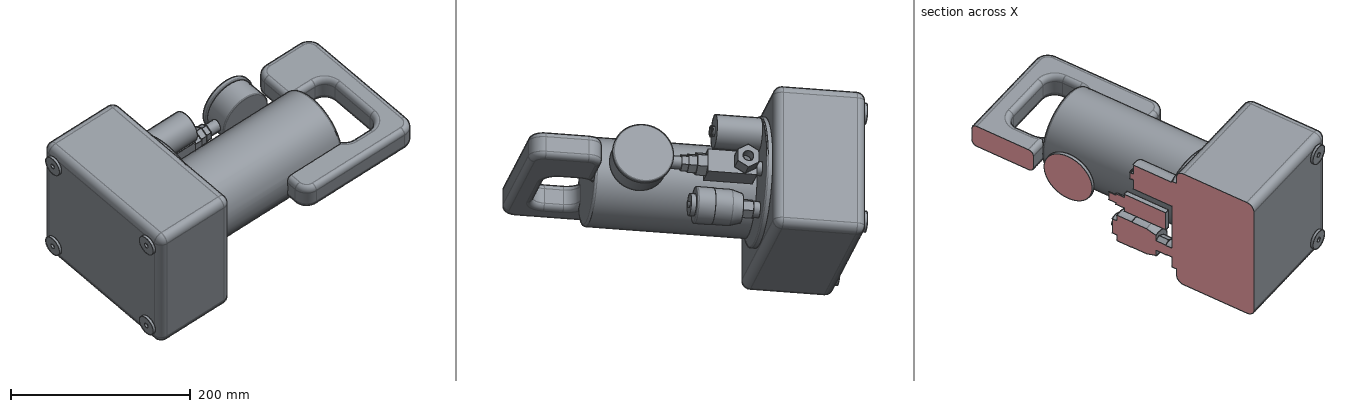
import cadquery as cq
import math

AXIS_X = cq.Vector(1, 0, 0)
AXIS_Y = cq.Vector(0, 1, 0)

total_length = 379.7
foot_height = 3.5
handle_end_y = total_length - foot_height

tank_x = 199.7
tank_y = 103.5
tank_z = 170.0
tank_fillet = 10.0
foot_dia = 23.5
foot_hole_dia = 5.7
foot_pitch_x = 160.0
foot_pitch_z = 130.0
foot_overlap = 2.0

cover_dia = 147.0
cover_x = -14.0
cover_thickness = 6.5
cover_fillet = 1.5
cover_top_y = tank_y + cover_thickness

motor_dia = 100.2
motor_x = 20.5
motor_end_y = 294.0
motor_fillet = 2.5

handle_thickness = 31.0
handle_fillet = 7.0
handle_corner = 16.7
handle_left_x = -80.0
handle_right_x = tank_x / 2
handle_foot_y = 213.0
window_left_x = -21.0
window_right_x = 70.5
window_top_y = 348.0
window_bottom_y = motor_end_y
window_corner = 16.0
window_wall = 6.0

block_x = 27.7
block_z = 26.5
block_bottom_y = 117.7
block_top_y = 173.0
valve_x = -54.5
pedestal_dia = 16.0

outlet_y = 131.8
outlet_flats = 24.0
outlet_length = 19.0
outlet_neck_dia = 16.5
outlet_neck_length = 2.5
outlet_bore_dia = 11.8
outlet_bore_depth = 15.0
drill_tip_angle = 118

hex_stack = [(23.0, 11.5), (19.0, 9.5), (16.7, 7.5)]

gauge_y = 248.0
gauge_body_dia = 64.5
gauge_rim_dia = 68.7
gauge_front_x = -75.5
gauge_back_x = -41.8
gauge_rim_width = 6.0
gauge_fillet = 1.0
gauge_stem_dia = 14.5

solenoid_x = -43.0
solenoid_z = 45.5
solenoid_dia = 38.0
solenoid_top_y = 161.5
knob_neck_dia = 11.8
knob_cap_dia = 13.0
knob_step = 2.3
knob_chamfer = 0.8

coupler_x = -40.5
coupler_z = -43.5
coupler_neck_dia = 18.2
coupler_nut_flats = 19.0
coupler_nut_y = 117.7
coupler_cone_y = 130.5
coupler_cone_dia = 33.5
coupler_sleeve_y = 143.0
coupler_sleeve_dia = 40.5
coupler_collar_y = 163.0
coupler_collar_dia = 41.5
coupler_collar_fillet = 1.5
coupler_tip_y = 183.5
coupler_tip_dia = 25.0
coupler_pin_y = 189.0
coupler_pin_dia = 7.0
coupler_end_y = 191.5


def rod(diameter, length, start, direction):
    """Cylinder starting at a point and running along a direction."""
    return cq.Workplane(obj=cq.Solid.makeCylinder(diameter / 2, length, cq.Vector(*start), direction))


def rod_y(diameter, x, z, bottom_y, top_y):
    """Cylinder parallel to Y between two heights."""
    return rod(diameter, top_y - bottom_y, (x, bottom_y, z), AXIS_Y)


def hex_bar(flats, length, start, direction):
    """Hexagon bar along a direction, with corners toward +Z and -Z."""
    plane = cq.Plane(origin=start, xDir=(0, 0, 1), normal=direction.toTuple())
    across_corners = flats / math.cos(math.pi / 6)
    return cq.Workplane(plane).polygon(6, across_corners).extrude(length)


def make_tank():
    tank = cq.Workplane("XY").box(tank_x, tank_y, tank_z).translate((0, tank_y / 2, 0))
    tank = tank.edges().fillet(tank_fillet)
    for x in (-foot_pitch_x / 2, foot_pitch_x / 2):
        for z in (-foot_pitch_z / 2, foot_pitch_z / 2):
            tank = tank.union(rod_y(foot_dia, x, z, -foot_height, foot_overlap))
            tank = tank.cut(rod_y(foot_hole_dia, x, z, -foot_height, 0))
    return tank


def make_cover():
    return rod_y(cover_dia, cover_x, 0, tank_y, cover_top_y).faces(">Y").edges().fillet(cover_fillet)


def make_motor():
    return rod_y(motor_dia, motor_x, 0, tank_y, motor_end_y).faces(">Y").edges().fillet(motor_fillet)


def make_handle():
    """Flat L-shaped grip with a rounded window; its inner parts are buried in the motor."""
    root_x = window_left_x - window_wall
    outline = [
        (handle_left_x, motor_end_y),
        (handle_left_x, handle_end_y),
        (handle_right_x, handle_end_y),
        (handle_right_x, handle_foot_y),
        (root_x, handle_foot_y),
        (root_x, motor_end_y),
    ]
    plate = cq.Workplane("XY").polyline(outline).close().extrude(handle_thickness / 2, both=True)
    plate = plate.edges("|Z").edges("<X or >X").fillet(handle_corner)
    plate = plate.faces("<Z or >Z").edges().fillet(handle_fillet)

    centre_x = (window_left_x + window_right_x) / 2
    centre_y = (window_bottom_y + window_top_y) / 2
    window = (
        cq.Workplane("XY")
        .center(centre_x, centre_y)
        .rect(window_right_x - window_left_x, window_top_y - window_bottom_y)
        .extrude(handle_thickness, both=True)
        .edges("|Z")
        .fillet(window_corner)
    )
    blank = cq.Workplane("XY").box(total_length, total_length, handle_thickness)
    blank = blank.translate((centre_x, centre_y, 0)).cut(window)
    rim_reach = (window_right_x - window_left_x) / 2 + window_wall
    rim_zone = cq.selectors.BoxSelector(
        (centre_x - rim_reach, centre_y - rim_reach, -handle_thickness),
        (centre_x + rim_reach, centre_y + rim_reach, handle_thickness),
    )
    blank = blank.faces("<Z or >Z").edges(rim_zone).fillet(handle_fillet)
    return plate.intersect(blank)


def make_valve():
    block_y = block_top_y - block_bottom_y
    valve = cq.Workplane("XY").box(block_x, block_y, block_z)
    valve = valve.translate((valve_x, block_bottom_y + block_y / 2, 0))
    valve = valve.union(rod_y(pedestal_dia, valve_x, 0, cover_top_y, block_bottom_y))

    neck_x = valve_x - block_x / 2 - outlet_neck_length
    nut_x = neck_x - outlet_length
    nut = hex_bar(outlet_flats, outlet_length, (nut_x, outlet_y, 0), AXIS_X)
    neck = rod(outlet_neck_dia, outlet_neck_length, (neck_x, outlet_y, 0), AXIS_X)

    bore = rod(outlet_bore_dia, outlet_bore_depth, (nut_x, outlet_y, 0), AXIS_X)
    tip_length = outlet_bore_dia / 2 / math.tan(math.radians(drill_tip_angle / 2))
    tip_start = cq.Vector(nut_x + outlet_bore_depth, outlet_y, 0)
    tip = cq.Workplane(obj=cq.Solid.makeCone(outlet_bore_dia / 2, 0, tip_length, tip_start, AXIS_X))
    return valve.union(neck).union(nut).cut(bore.union(tip))


def make_gauge():
    """Hexagon fittings, stem and dial; the dial faces -X."""
    case = rod(gauge_body_dia, gauge_back_x - gauge_front_x, (gauge_front_x, gauge_y, 0), AXIS_X)
    case = case.faces(">X").edges().fillet(gauge_fillet)
    rim = rod(gauge_rim_dia, gauge_rim_width, (gauge_front_x, gauge_y, 0), AXIS_X)
    gauge = case.union(rim.edges("%CIRCLE").fillet(gauge_fillet))

    hex_y = block_top_y
    for flats, height in hex_stack:
        gauge = gauge.union(hex_bar(flats, height, (valve_x, hex_y, 0), AXIS_Y))
        hex_y += height
    return gauge.union(rod_y(gauge_stem_dia, valve_x, 0, hex_y, gauge_y))


def make_solenoid():
    neck_top_y = solenoid_top_y + knob_step
    body = rod_y(solenoid_dia, solenoid_x, solenoid_z, cover_top_y, solenoid_top_y)
    neck = rod_y(knob_neck_dia, solenoid_x, solenoid_z, solenoid_top_y, neck_top_y)
    cap = rod_y(knob_cap_dia, solenoid_x, solenoid_z, neck_top_y, neck_top_y + knob_step)
    return body.union(neck).union(cap.faces(">Y").edges().chamfer(knob_chamfer))


def make_coupler():
    def section(diameter, bottom_y, top_y):
        return rod_y(diameter, coupler_x, coupler_z, bottom_y, top_y)

    nut_start = (coupler_x, coupler_nut_y, coupler_z)
    cone_start = cq.Vector(coupler_x, coupler_cone_y, coupler_z)
    cone = cq.Solid.makeCone(
        coupler_cone_dia / 2, coupler_sleeve_dia / 2, coupler_sleeve_y - coupler_cone_y, cone_start, AXIS_Y
    )
    collar = section(coupler_collar_dia, coupler_collar_y, coupler_tip_y)
    return (
        section(coupler_neck_dia, cover_top_y, coupler_nut_y)
        .union(hex_bar(coupler_nut_flats, coupler_cone_y - coupler_nut_y, nut_start, AXIS_Y))
        .union(cq.Workplane(obj=cone))
        .union(section(coupler_sleeve_dia, coupler_sleeve_y, coupler_collar_y))
        .union(collar.faces(">Y").edges().fillet(coupler_collar_fillet))
        .union(section(coupler_tip_dia, coupler_tip_y, coupler_pin_y))
        .union(section(coupler_pin_dia, coupler_pin_y, coupler_end_y))
    )


result = make_tank()
for component in (
    make_cover(),
    make_motor(),
    make_handle(),
    make_valve(),
    make_gauge(),
    make_solenoid(),
    make_coupler(),
):
    result = result.union(component)